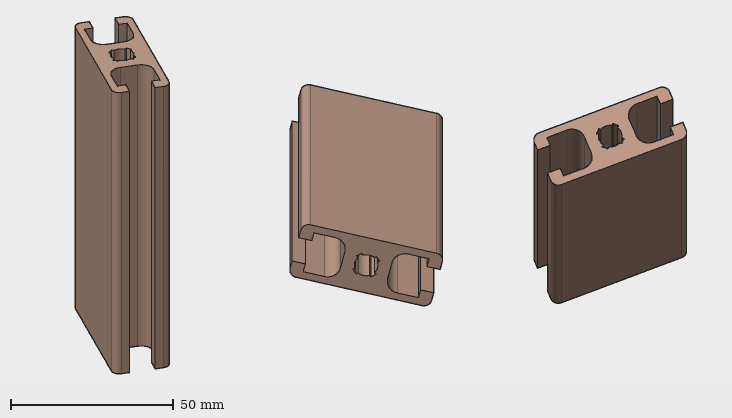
import cadquery as cq

length = 100.0
width = 45.0
depth = 18.5
outer_radius = 2.5

web_width = 15.0
wall = 2.4
lip_thickness = 4.2
mouth_height = 8.2
chamber_radius = 4.1

core_diameter = 7.2
relief_width = 1.8
relief_span = 8.4

chamber_height = depth - 2 * wall
chamber_length = (width - web_width) / 2 - lip_thickness
chamber_center = web_width / 2 + chamber_length / 2
mouth_length = (width - web_width) / 2 - chamber_radius
mouth_center = width / 2 - mouth_length / 2


def prism(size_x, size_y, center_x=0.0):
    """Full-length rectangular bar standing on the XY plane."""
    bar = cq.Workplane("XY").box(size_x, size_y, length, centered=(True, True, False))
    return bar.translate((center_x, 0, 0))


def channel(side):
    """Void of one channel; side is -1 for the -X side, +1 for the +X side."""
    inner_edges = "|Z and <X" if side > 0 else "|Z and >X"
    chamber = prism(chamber_length, chamber_height, side * chamber_center)
    chamber = chamber.edges(inner_edges).fillet(chamber_radius)
    return chamber.union(prism(mouth_length, mouth_height, side * mouth_center))


def core_hole():
    """Void of the central hole and its diagonal reliefs."""
    hole = cq.Workplane("XY").circle(core_diameter / 2).extrude(length)
    for angle in (45, -45):
        relief = prism(relief_span, relief_width).rotate((0, 0, 0), (0, 0, 1), angle)
        hole = hole.union(relief)
    return hole


result = prism(width, depth).edges("|Z").fillet(outer_radius)
for side in (-1, 1):
    result = result.cut(channel(side))
result = result.cut(core_hole())